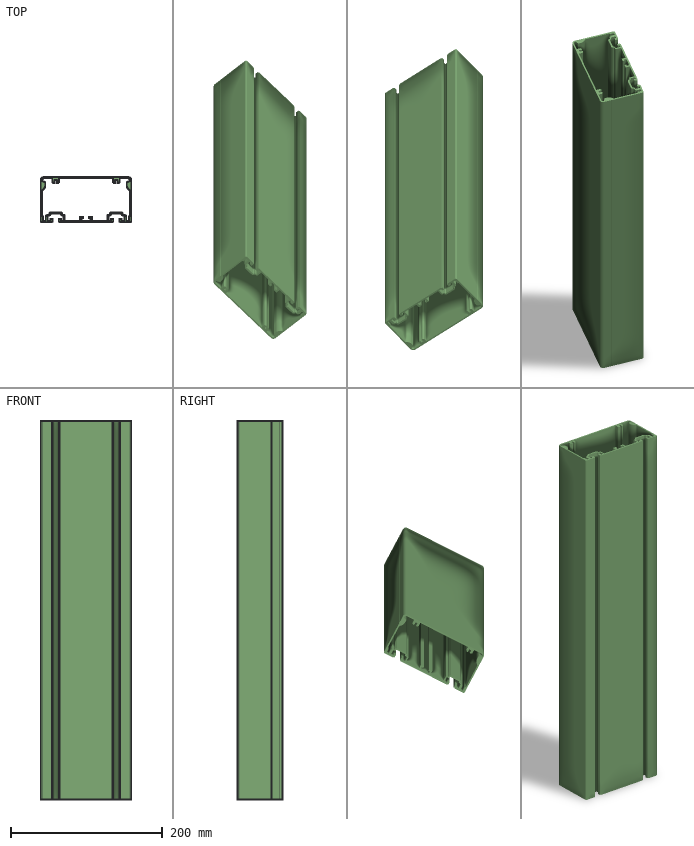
import cadquery as cq

WIDTH = 120.0
DEPTH = 60.0
LENGTH = 500.0
HALF_WIDTH = WIDTH / 2
BACK = DEPTH / 2
FRONT = -DEPTH / 2

BACK_WALL = 1.9
SIDE_WALL = 2.0
FRONT_WALL = 2.2
BACK_CORNER_RADIUS = 4.3
FRONT_CORNER_RADIUS = 2.0
INNER_FRONT = FRONT + FRONT_WALL
INNER_BACK = BACK - BACK_WALL

SLOT_X = 40.0
SLOT_OPENING = 8.0
SLOT_REBATE_WIDTH = 1.4
SLOT_REBATE_DEPTH = 0.8
CAVITY_WIDTH = 20.5
CAVITY_SHOULDER_Y = -21.3
ARCH_WIDTH = 14.0
ARCH_WALL = 1.7
ARCH_CHAMFER = 1.8
CAVITY_CHAMFER = 0.8
ARCH_FOOT_RISE = 0.7
HOUSING_SHOULDER_Y = -20.3
CAVITY_ROOF_Y = -18.6
CAVITY_WALL = 2.0
HOUSING_ROOF_Y = -16.4
LIP_WIDTH = 3.2
LIP_TOP_Y = -25.3

FOOT_WIDTH = 3.5
FOOT_TOP_Y = -21.8
POST_WIDTH = 3.2
POST_TOP_Y = -21.5

CHANNEL_WIDTH = 17.0
CHANNEL_STEM = 2.6
CHANNEL_OPENING = 7.5
CHANNEL_TOP_Y = -22.2
CHANNEL_HOOK = 2.2

RIB_WIDTH = 9.2
RIB_TIP_Y = 21.8
RIB_TIP_CHAMFER = 1.5
RIB_SLOT_WIDTH = 2.8
RIB_SLOT_END_Y = 26.0

LOBE_TIP_X = 53.5
LOBE_BACK_Y = 24.9
LOBE_TIP_BACK_Y = 23.0
LOBE_TIP_FRONT_Y = 18.6
LOBE_FRONT_Y = 11.8
LOBE_BULGE = 0.8

GROOVE_Y = 15.0
GROOVE_WIDTH = 0.6
GROOVE_DEPTH = 0.2


def bar(x_min, x_max, y_min, y_max):
    """Full-length rectangular bar between the given limits."""
    return cq.Workplane("XY").box(x_max - x_min, y_max - y_min, LENGTH, centered=False).translate(
        (x_min, y_min, 0)
    )


def prism(points):
    """Full-length prism with a polygonal section."""
    return cq.Workplane("XY").polyline(points).close().extrude(LENGTH)


def both_sides(body):
    """The body together with its mirror image across the centre plane."""
    return body.union(body.mirror("YZ"))


def make_shell():
    outer = bar(-HALF_WIDTH, HALF_WIDTH, FRONT, BACK)
    outer = outer.edges("|Z and >Y").fillet(BACK_CORNER_RADIUS)
    outer = outer.edges("|Z and <Y").fillet(FRONT_CORNER_RADIUS)
    inner_x = HALF_WIDTH - SIDE_WALL
    inner = bar(-inner_x, inner_x, INNER_FRONT, INNER_BACK)
    inner = inner.edges("|Z and >Y").fillet(BACK_CORNER_RADIUS - SIDE_WALL)
    return outer.cut(inner)


def make_foot():
    foot = bar(HALF_WIDTH - FOOT_WIDTH, HALF_WIDTH, FRONT, FOOT_TOP_Y)
    return foot.edges("|Z and >X and <Y").fillet(FRONT_CORNER_RADIUS)


def slot_section(half_width, wall_top_y, arch_half_width, arch_foot_y, arch_chamfer, roof_y):
    """Slot section: upright walls, sloped shoulders and a raised arch with bevelled corners."""
    right_side = [
        (half_width, INNER_FRONT),
        (half_width, wall_top_y),
        (arch_half_width, arch_foot_y),
        (arch_half_width, roof_y - arch_chamfer),
        (arch_half_width - arch_chamfer, roof_y),
    ]
    right = [(SLOT_X + x, y) for x, y in right_side]
    left = [(SLOT_X - x, y) for x, y in reversed(right_side)]
    return prism(right + left)


def make_slot_housing():
    return slot_section(
        CAVITY_WIDTH / 2 + CAVITY_WALL,
        HOUSING_SHOULDER_Y,
        ARCH_WIDTH / 2 + ARCH_WALL,
        HOUSING_SHOULDER_Y + ARCH_FOOT_RISE,
        ARCH_CHAMFER,
        HOUSING_ROOF_Y,
    )


def make_slot_cavity():
    return slot_section(
        CAVITY_WIDTH / 2,
        CAVITY_SHOULDER_Y,
        ARCH_WIDTH / 2,
        CAVITY_SHOULDER_Y + ARCH_FOOT_RISE,
        CAVITY_CHAMFER,
        CAVITY_ROOF_Y,
    )


def make_post():
    inner_x = SLOT_X + CAVITY_WIDTH / 2
    return bar(inner_x, inner_x + POST_WIDTH, FRONT, POST_TOP_Y)


def make_slot_lips():
    half = SLOT_OPENING / 2 + LIP_WIDTH
    return bar(SLOT_X - half, SLOT_X + half, FRONT, LIP_TOP_Y)


def make_slot_mouth():
    half = SLOT_OPENING / 2
    mouth = bar(SLOT_X - half, SLOT_X + half, FRONT, LIP_TOP_Y)
    rebate_half = half + SLOT_REBATE_WIDTH
    rebate = bar(SLOT_X - rebate_half, SLOT_X + rebate_half, FRONT, FRONT + SLOT_REBATE_DEPTH)
    return mouth.union(rebate)


def make_channel_hook():
    outer_x = CHANNEL_WIDTH / 2
    stem = bar(outer_x - CHANNEL_STEM, outer_x, FRONT, CHANNEL_TOP_Y)
    hook = bar(CHANNEL_OPENING / 2, outer_x, CHANNEL_TOP_Y - CHANNEL_HOOK, CHANNEL_TOP_Y)
    return stem.union(hook)


def make_rib():
    half = RIB_WIDTH / 2
    rib = bar(SLOT_X - half, SLOT_X + half, RIB_TIP_Y, BACK)
    rib = rib.edges("|Z and <Y").chamfer(RIB_TIP_CHAMFER)
    slot_half = RIB_SLOT_WIDTH / 2
    return rib.cut(bar(SLOT_X - slot_half, SLOT_X + slot_half, RIB_TIP_Y, RIB_SLOT_END_Y))


def make_lobe():
    embedded_x = HALF_WIDTH - SIDE_WALL / 2
    inner_x = HALF_WIDTH - SIDE_WALL
    return (
        cq.Workplane("XY")
        .moveTo(embedded_x, LOBE_BACK_Y)
        .lineTo(inner_x, LOBE_BACK_Y)
        .lineTo(LOBE_TIP_X, LOBE_TIP_BACK_Y)
        .lineTo(LOBE_TIP_X, LOBE_TIP_FRONT_Y)
        .sagittaArc((inner_x, LOBE_FRONT_Y), -LOBE_BULGE)
        .lineTo(embedded_x, LOBE_FRONT_Y)
        .close()
        .extrude(LENGTH)
    )


def make_groove():
    return prism([
        (HALF_WIDTH, GROOVE_Y - GROOVE_WIDTH / 2),
        (HALF_WIDTH, GROOVE_Y + GROOVE_WIDTH / 2),
        (HALF_WIDTH - GROOVE_DEPTH, GROOVE_Y),
    ])


result = make_shell()
for added in (make_foot(), make_post(), make_slot_housing(), make_channel_hook(), make_rib(), make_lobe()):
    result = result.union(both_sides(added))
result = result.cut(both_sides(make_slot_cavity()))
result = result.union(both_sides(make_slot_lips()))
result = result.cut(both_sides(make_slot_mouth()))
result = result.cut(both_sides(make_groove()))